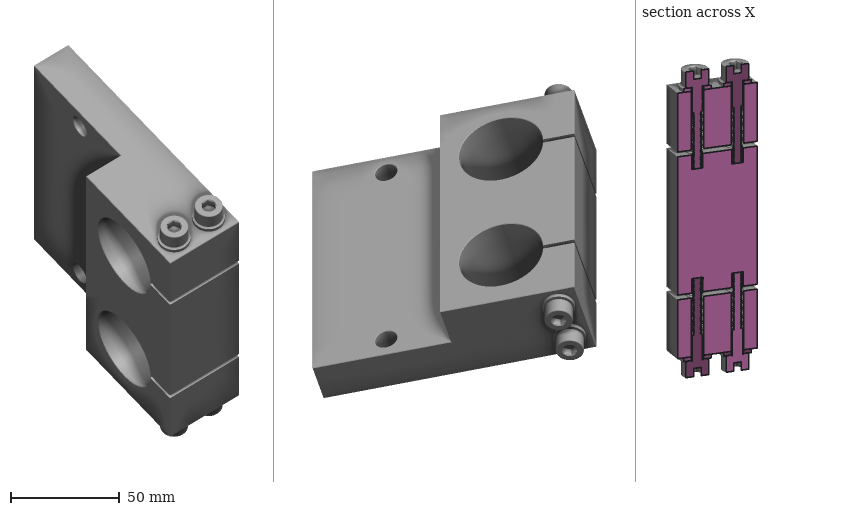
import cadquery as cq
import math

TOTAL_HEIGHT = 149.6
BLOCK_SIDE = 130.0
BLOCK_DEPTH = 40.0
PLATE_DEPTH = BLOCK_DEPTH / 2
PLATE_WIDTH = 66.0
HALF_HEIGHT = BLOCK_SIDE / 2
EDGE_CHAMFER = 0.25

MOUNT_HOLE_DIAMETER = 10.5
MOUNT_HOLE_X = 35.0
MOUNT_HOLE_INSET = 10.0

BORE_DIAMETER = 40.0
BORE_X = 95.0
BORE_INSET = 30.0
BORE_Z = HALF_HEIGHT - BORE_INSET
SLOT_HEIGHT = 2.1

WASHER_DIAMETER = 15.1
WASHER_HOLE_DIAMETER = 8.4
WASHER_THICKNESS = 1.8

SCREW_X = BLOCK_SIDE - 10.0
SCREW_ROW_SPACING = BLOCK_DEPTH / 2
SCREW_ROWS = [-BLOCK_DEPTH / 2 + side * SCREW_ROW_SPACING / 2 for side in (-1, 1)]
HEAD_DIAMETER = 13.0
HEAD_HEIGHT = (TOTAL_HEIGHT - BLOCK_SIDE) / 2 - WASHER_THICKNESS
HEAD_TOP_FILLET = 0.5
HEAD_BOTTOM_CHAMFER = 0.5
SOCKET_ACROSS_FLATS = 6.0
SOCKET_MOUTH_DIAMETER = 7.2
SOCKET_DEPTH = 4.0
SHANK_DIAMETER = 8.0
SHANK_LENGTH = 40.0
THREAD_ROOT_DIAMETER = 6.7
THREAD_PITCH = 1.0
THREAD_LENGTH = 28.0
THREAD_FLANK_ANGLE = 30.0
THREAD_START_ANGLE = 215.0
CLEARANCE_DIAMETER = WASHER_HOLE_DIAMETER
SCREW_TIP_DEPTH = SHANK_LENGTH - WASHER_THICKNESS


def flipped(body):
    """Turn a body half a turn about X, from the top side to the bottom side."""
    return body.rotate((0, 0, 0), (1, 0, 0), 180)


def screw_hole():
    """Stepped hole below the origin: clearance down to the slot, then the shank size down to the tip."""
    hole = cq.Workplane("XY").circle(SHANK_DIAMETER / 2).extrude(-SCREW_TIP_DEPTH)
    return hole.union(cq.Workplane("XY").circle(CLEARANCE_DIAMETER / 2).extrude(-BORE_INSET))


def chamfer_outer_edges(block):
    """Chamfer the top and bottom rims and the front side rims; back and step uprights stay sharp."""
    plate_front = cq.selectors.BoxSelector(
        (0, -PLATE_DEPTH - 1.5, -BLOCK_SIDE), (PLATE_WIDTH, -PLATE_DEPTH + 1.5, BLOCK_SIDE)
    )
    step_side = cq.selectors.BoxSelector(
        (PLATE_WIDTH - 1.5, -BLOCK_DEPTH, -BLOCK_SIDE), (PLATE_WIDTH + 1.5, 0, BLOCK_SIDE)
    )
    rims = block.edges("|Y").edges("<X or >X").vals()
    rims += block.edges("|Y").edges(step_side).vals()
    rims += block.faces("<X").edges("|Z and <Y").vals()
    rims += block.faces(">X").edges("|Z and <Y").vals()
    rims += block.faces(">Z or <Z").edges("|X").edges(plate_front).vals()
    rims += block.faces("<Y").edges("|X").vals()
    return block.newObject(rims).chamfer(EDGE_CHAMFER)


def cut_round_holes(block, points, diameter, front_y):
    """Cut holes along Y through the block, each with a chamfered rim on the front face."""
    holes = cq.Workplane("XZ").pushPoints(points).circle(diameter / 2).extrude(BLOCK_DEPTH)
    block = block.cut(holes)
    for x, z in points:
        rim = cq.Solid.makeCone(
            diameter / 2 + EDGE_CHAMFER,
            diameter / 2,
            EDGE_CHAMFER,
            cq.Vector(x, front_y, z),
            cq.Vector(0, 1, 0),
        )
        block = block.cut(cq.Workplane(rim))
    return block


def make_block():
    outline = [
        (0, 0),
        (BLOCK_SIDE, 0),
        (BLOCK_SIDE, -BLOCK_DEPTH),
        (PLATE_WIDTH, -BLOCK_DEPTH),
        (PLATE_WIDTH, -PLATE_DEPTH),
        (0, -PLATE_DEPTH),
    ]
    block = cq.Workplane("XY").polyline(outline).close().extrude(HALF_HEIGHT, both=True)
    block = chamfer_outer_edges(block)

    mount_z = HALF_HEIGHT - MOUNT_HOLE_INSET
    mount_points = [(MOUNT_HOLE_X, mount_z), (MOUNT_HOLE_X, -mount_z)]
    block = cut_round_holes(block, mount_points, MOUNT_HOLE_DIAMETER, -PLATE_DEPTH)

    bore_points = [(BORE_X, BORE_Z), (BORE_X, -BORE_Z)]
    block = cut_round_holes(block, bore_points, BORE_DIAMETER, -BLOCK_DEPTH)

    slot_length = BLOCK_SIDE - BORE_X
    slot_points = [(BORE_X + slot_length / 2, BORE_Z), (BORE_X + slot_length / 2, -BORE_Z)]
    slots = cq.Workplane("XZ").pushPoints(slot_points).rect(slot_length, SLOT_HEIGHT).extrude(BLOCK_DEPTH)
    block = block.cut(slots)

    for y in SCREW_ROWS:
        block = block.cut(screw_hole().translate((SCREW_X, y, HALF_HEIGHT)))
        block = block.cut(flipped(screw_hole().translate((SCREW_X, -y, HALF_HEIGHT))))
    return block


def make_washer():
    """Washer standing on the origin."""
    washer = cq.Workplane("XY").circle(WASHER_DIAMETER / 2).circle(WASHER_HOLE_DIAMETER / 2)
    return washer.extrude(WASHER_THICKNESS)


def thread_groove():
    """Right-hand helical groove that rises from one pitch below the shank tip."""
    root_radius = THREAD_ROOT_DIAMETER / 2
    outer_radius = SHANK_DIAMETER / 2 + 0.1 * THREAD_PITCH
    root_half = THREAD_PITCH / 16
    outer_half = root_half + (outer_radius - root_radius) * math.tan(math.radians(THREAD_FLANK_ANGLE))
    helix = cq.Wire.makeHelix(THREAD_PITCH, THREAD_LENGTH + THREAD_PITCH, root_radius)
    profile = [
        (root_radius, -root_half),
        (outer_radius, -outer_half),
        (outer_radius, outer_half),
        (root_radius, root_half),
    ]
    groove = cq.Workplane("XZ").polyline(profile).close().sweep(helix, isFrenet=True)
    groove = groove.rotate((0, 0, 0), (0, 0, 1), THREAD_START_ANGLE)
    return groove.translate((0, 0, -SHANK_LENGTH - THREAD_PITCH))


def make_socket():
    """Hexagonal socket with a conical mouth, sunk into the top of the head."""
    corner_diameter = SOCKET_ACROSS_FLATS / math.cos(math.radians(30))
    top = cq.Workplane("XY").workplane(offset=HEAD_HEIGHT).transformed(rotate=(0, 0, 30))
    socket = top.polygon(6, corner_diameter).extrude(-SOCKET_DEPTH)
    mouth_radius = SOCKET_MOUTH_DIAMETER / 2
    mouth = cq.Solid.makeCone(
        mouth_radius, 0, mouth_radius, cq.Vector(0, 0, HEAD_HEIGHT), cq.Vector(0, 0, -1)
    )
    return socket.union(cq.Workplane(mouth))


def make_screw():
    """Socket head screw, head seat at the origin and shank pointing down."""
    head = cq.Workplane("XY").circle(HEAD_DIAMETER / 2).extrude(HEAD_HEIGHT)
    head = head.faces(">Z").edges().fillet(HEAD_TOP_FILLET)
    head = head.faces("<Z").edges().chamfer(HEAD_BOTTOM_CHAMFER)
    shank = cq.Workplane("XY").circle(SHANK_DIAMETER / 2).extrude(-SHANK_LENGTH)
    return head.cut(make_socket()).union(shank.cut(thread_groove()))


block = make_block()
washer = make_washer()
screw = make_screw()

washers = []
screws = []
for y in SCREW_ROWS:
    washers.append(washer.translate((SCREW_X, y, HALF_HEIGHT)))
    washers.append(flipped(washer.translate((SCREW_X, -y, HALF_HEIGHT))))
    screws.append(screw.translate((SCREW_X, y, HALF_HEIGHT + WASHER_THICKNESS)))
    screws.append(flipped(screw.translate((SCREW_X, -y, HALF_HEIGHT + WASHER_THICKNESS))))

result = cq.Compound.makeCompound([body.val() for body in [block, *washers, *screws]])